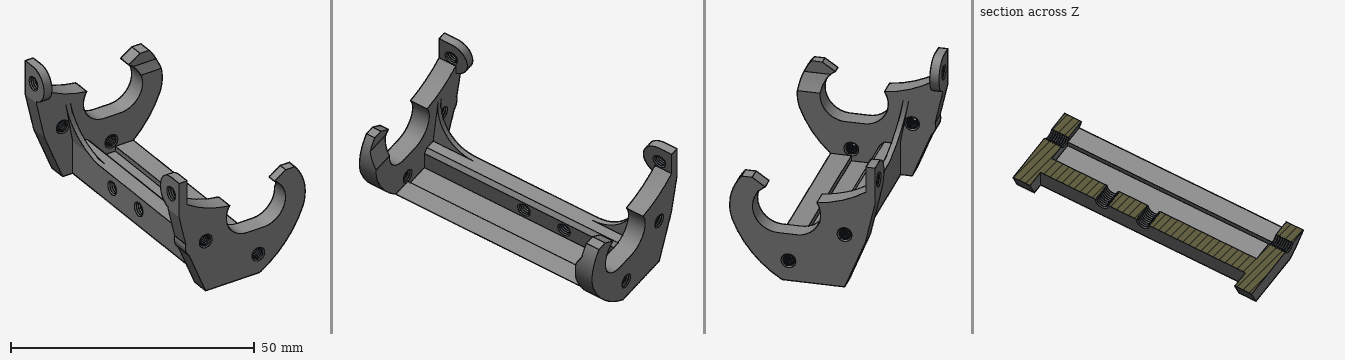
import cadquery as cq

length = 58.0
height = 28.0
plate_thickness = 4.2
half_length = length / 2
half_span = half_length - plate_thickness

bottom_front = (6.5, 0.0)
knee_bottom = (2.25, 10.3)
knee_top = (2.05, 10.95)
tab_foot = (0.0, 19.85)
tab_thickness = 2.0
horn_top = (tab_thickness, 22.3)
horn_middle = (7.65, 19.55)
horn_lip = (12.4, 18.55)
bottom_rear = (19.8, 0.0)
rear_middle = (26.2, 5.45)
rear_end = (30.5, 12.75)
hook_back = (31.0, 15.85)
hook_top_rear = (28.4, 22.6)
hook_top_front = (26.15, 22.6)
hook_tip = (23.4, 20.75)

opening_radius = 5.15
opening_front_y = 16.75
opening_rear_y = 20.95
opening_floor_z = 10.7
opening_centre_z = opening_floor_z + opening_radius
opening_front = (opening_front_y - opening_radius, opening_centre_z)
opening_rear = (opening_rear_y + opening_radius, opening_centre_z)

bulge_top = (1.7, 13.0)
bulge_middle = (1.55, 11.35)
bulge_bottom = (2.45, 9.8)

left_relief_depth = 1.05
right_relief_depth = 2.1
relief_ramp_bottom_z = 16.5
relief_ramp_middle_z = 18.05
relief_ramp_top_z = 20.0
relief_front_y = 19.15

clearance_radius = 10.0
beam_front_y = 8.95
beam_front_top_z = 7.7
beam_top_z = 7.0
wall_lean = 0.18
wall_back_y = 10.2
ledge_back_y = 12.45
ledge_chamfer = 0.9
channel_floor_z = 1.85
channel_front_y = ledge_back_y + ledge_chamfer
channel_rear_y = 19.45
rear_strip_z = 3.0
wall_top_z = beam_top_z + clearance_radius

tab_radius = 4.0
tab_centre_x = half_length - 3.1
tab_centre_z = height - tab_radius

thread_minor = 2.5
thread_major = 3.15
thread_pitch = 0.5
plate_hole = (6.5, 12.0)
left_rear_hole = (18.45, 4.5)
right_rear_hole = (19.45, 4.5)
beam_holes_x = (-10.0, 0.0)
beam_hole_z = 4.0


def extrude_yz(sketch, start_x, thickness):
    """Stand a (Y, Z) sketch on the plane X = start_x and extrude it towards +X."""
    return sketch.extrude(thickness).translate((start_x, 0, 0))


def plate_outline():
    """Closed outline of a side plate, starting along the underside."""
    return (
        cq.Workplane("YZ")
        .moveTo(*bottom_front)
        .lineTo(*bottom_rear)
        .threePointArc(rear_middle, rear_end)
        .threePointArc(hook_back, hook_top_rear)
        .lineTo(*hook_top_front)
        .lineTo(*hook_tip)
        .threePointArc(opening_rear, (opening_rear_y, opening_floor_z))
        .lineTo(opening_front_y, opening_floor_z)
        .threePointArc(opening_front, horn_lip)
        .threePointArc(horn_middle, horn_top)
        .lineTo(tab_foot[0], horn_top[1])
        .lineTo(*tab_foot)
        .lineTo(*knee_top)
        .lineTo(*knee_bottom)
        .close()
    )


def plate_bulge():
    """Rounded strip added to the front edge of the right plate."""
    sketch = (
        cq.Workplane("YZ")
        .moveTo(*bulge_top)
        .threePointArc(bulge_middle, bulge_bottom)
        .lineTo(*plate_hole)
        .close()
    )
    return extrude_yz(sketch, half_span, plate_thickness)


def hook_relief(wall_x):
    """Cutter that thins the hook of the right plate back to wall_x, ending in a curved ramp."""
    ramp_start_x = wall_x - right_relief_depth
    return (
        cq.Workplane("XZ", origin=(0, relief_front_y, 0))
        .moveTo(wall_x, height)
        .lineTo(wall_x, relief_ramp_top_z)
        .threePointArc(
            (wall_x - right_relief_depth / 2, relief_ramp_middle_z),
            (ramp_start_x, relief_ramp_bottom_z),
        )
        .lineTo(ramp_start_x, height)
        .close()
        .extrude(-hook_back[0])
    )


def beam_clearance():
    """Block above the beam, rounded along its two lower edges where it meets the plates."""
    return (
        cq.Workplane("XY")
        .box(2 * half_span, ledge_back_y, height, centered=(True, False, False))
        .edges("|Y and <Z")
        .fillet(clearance_radius)
        .translate((0, 0, beam_top_z))
    )


def crossbeam():
    """Channel-shaped beam whose leaning front wall curves up to the plates."""
    wall_shift = wall_lean * (wall_top_z - beam_front_top_z)
    back_shift = wall_lean * (wall_top_z - beam_top_z)
    section = (
        cq.Workplane("YZ")
        .moveTo(beam_front_y, 0)
        .lineTo(beam_front_y, beam_front_top_z)
        .lineTo(beam_front_y - wall_shift, wall_top_z)
        .lineTo(wall_back_y - back_shift, wall_top_z)
        .lineTo(wall_back_y, beam_top_z)
        .lineTo(ledge_back_y, beam_top_z)
        .lineTo(channel_front_y, beam_top_z - ledge_chamfer)
        .lineTo(channel_front_y, channel_floor_z)
        .lineTo(channel_rear_y, channel_floor_z)
        .lineTo(channel_rear_y, rear_strip_z)
        .lineTo(rear_end[0], rear_strip_z)
        .lineTo(rear_end[0], 0)
        .close()
    )
    beam = extrude_yz(section, -half_span, 2 * half_span)
    envelope = extrude_yz(plate_outline(), -half_span, 2 * half_span)
    return beam.intersect(envelope).cut(beam_clearance())


def tab(side):
    """Upright lug at the front of a plate, rounded towards the middle of the part."""
    outer_x = side * half_length
    centre_x = side * tab_centre_x
    tip_x = side * (tab_centre_x - tab_radius)
    return (
        cq.Workplane("XZ")
        .moveTo(outer_x, height)
        .lineTo(centre_x, height)
        .threePointArc((tip_x, tab_centre_z), (centre_x, height - 2 * tab_radius))
        .lineTo(outer_x, height - 2 * tab_radius)
        .close()
        .extrude(-tab_thickness)
    )


def thread(depth):
    """Threaded hole along +Z from the origin, its thread simplified to ring grooves."""
    minor_radius = thread_minor / 2
    major_radius = thread_major / 2
    grooves = round(depth / thread_pitch)
    pitch = depth / grooves
    profile = cq.Workplane("XZ").lineTo(major_radius, 0)
    for groove in range(grooves):
        profile = profile.lineTo(minor_radius, (groove + 0.5) * pitch)
        profile = profile.lineTo(major_radius, (groove + 1) * pitch)
    return profile.lineTo(0, depth).close().revolve(360, (0, 0), (0, 1))


def thread_along_x(start_x, centre):
    hole = thread(plate_thickness).rotate((0, 0, 0), (0, 1, 0), 90)
    return hole.translate((start_x, *centre))


def thread_along_y(x, y, z, depth):
    hole = thread(depth).rotate((0, 0, 0), (1, 0, 0), -90)
    return hole.translate((x, y, z))


left_plate = extrude_yz(plate_outline(), -half_length, plate_thickness)
right_plate = extrude_yz(plate_outline(), half_span, plate_thickness).union(plate_bulge())
left_plate = left_plate.cut(hook_relief(half_span + left_relief_depth).mirror("YZ"))
right_plate = right_plate.cut(hook_relief(half_span + right_relief_depth))
result = left_plate.union(right_plate).union(crossbeam()).union(tab(-1)).union(tab(1))

for start_x, rear_hole in ((-half_length, left_rear_hole), (half_span, right_rear_hole)):
    for centre in (plate_hole, rear_hole):
        result = result.cut(thread_along_x(start_x, centre))
for x in beam_holes_x:
    result = result.cut(thread_along_y(x, beam_front_y, beam_hole_z, channel_front_y - beam_front_y))
for x in (-tab_centre_x, tab_centre_x):
    result = result.cut(thread_along_y(x, 0, tab_centre_z, tab_thickness))